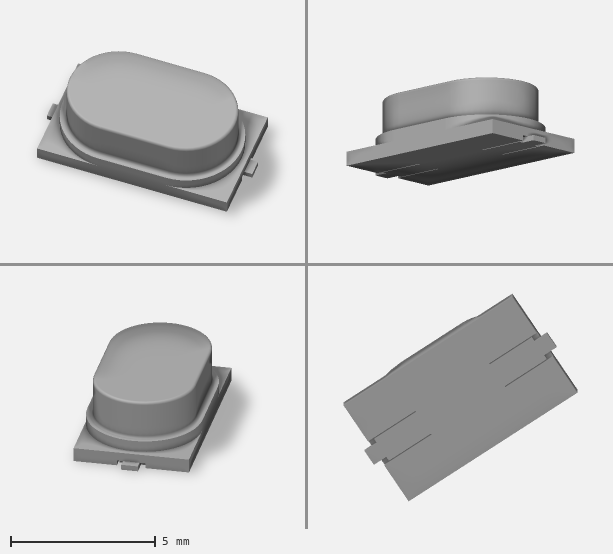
import cadquery as cq

overall_length = 7.6
overall_width = 4.1
overall_height = 2.3

base_length = 7.02
base_height = 0.5

oblong_straight = 2.5
flange_width = overall_width
flange_height = 0.4
cover_width = 3.62
cover_fillet = 0.1

lead_thickness = 0.19
lead_tip_width = 0.59
lead_pad_width = 0.92
lead_neck_depth = 0.23
notch_width = 1.025
notch_depth = 1.975

base_end = base_length / 2
lead_end = overall_length / 2
notch_inner_end = base_end - notch_depth
pad_outer_end = base_end - lead_neck_depth
flange_top = base_height + flange_height
cover_height = overall_height - flange_top


def block(x_start, x_end, width, height):
    """Block standing on the bottom plane, centred across Y."""
    return (
        cq.Workplane("XY")
        .box(x_end - x_start, width, height, centered=(False, True, False))
        .translate((x_start, 0, 0))
    )


def oblong(width, bottom, height):
    """Upright oblong prism whose end arcs share the same two centres."""
    return (
        cq.Workplane("XY", origin=(0, 0, bottom))
        .slot2D(oblong_straight + width, width)
        .extrude(height)
    )


def at_end(body, side):
    """Keep a +X end body in place (side 1) or turn it round to -X (side -1)."""
    angle = 0 if side > 0 else 180
    return body.rotate((0, 0, 0), (0, 0, 1), angle)


def make_base():
    """Rectangular plate with a blind notch under each end."""
    plate = block(-base_end, base_end, overall_width, base_height)
    notch = block(notch_inner_end, base_end, notch_width, lead_thickness)
    for side in (-1, 1):
        plate = plate.cut(at_end(notch, side))
    return plate


def make_can():
    """Flange and cover in one piece, rounded at the rim and at the foot."""
    flange = oblong(flange_width, base_height, flange_height)
    cover = oblong(cover_width, flange_top, cover_height)
    rounded_cover = cover.faces(">Z").edges().fillet(cover_fillet)
    can = flange.union(rounded_cover)
    margin = (flange_width - cover_width) / 4
    half_width = cover_width / 2 + margin
    half_length = half_width + oblong_straight / 2
    foot = cq.selectors.BoxSelector(
        (-half_length, -half_width, flange_top - margin),
        (half_length, half_width, flange_top + margin),
        boundingbox=True,
    )
    return can.edges(foot).fillet(cover_fillet)


def make_lead(side):
    """Flat T-shaped lead lying in the notch at one end of the base."""
    pad = block(notch_inner_end, pad_outer_end, lead_pad_width, lead_thickness)
    tip = block(pad_outer_end, lead_end, lead_tip_width, lead_thickness)
    return at_end(pad.union(tip), side)


base = make_base()
can = make_can()
leads = [make_lead(side) for side in (-1, 1)]

result = cq.Compound.makeCompound([base.val(), can.val(), *[lead.val() for lead in leads]])